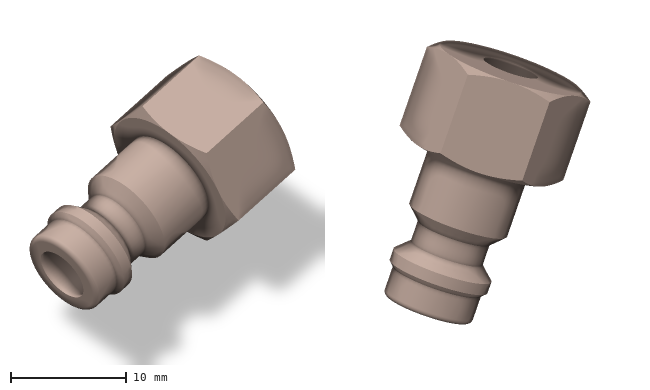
import cadquery as cq
import math

total_length = 22.5
across_flats = 13.0
hex_length = 8.5
chamfer_angle = 30.0
body_diameter = 9.0
groove_diameter = 6.6
tip_diameter = 8.1
bore_diameter = 5.0
tip_edge_radius = 0.45

tip_end = 2.6
collar_start = 3.05
collar_end = 4.1
groove_start = 5.25
groove_end = 7.13
body_start = 8.32
hex_start = total_length - hex_length

flat_radius = across_flats / 2
corner_radius = flat_radius / math.cos(math.radians(30))
body_radius = body_diameter / 2
groove_radius = groove_diameter / 2
tip_radius = tip_diameter / 2


def make_hex():
    """Hexagonal nut with corners on X and conical chamfers at both ends."""
    prism = (
        cq.Workplane("XZ", origin=(0, hex_start, 0))
        .polygon(6, 2 * corner_radius)
        .extrude(-hex_length)
    )
    chamfer_depth = (corner_radius - flat_radius) * math.tan(math.radians(chamfer_angle))
    envelope = (
        cq.Workplane("XY")
        .moveTo(0, hex_start)
        .lineTo(flat_radius, hex_start)
        .lineTo(corner_radius, hex_start + chamfer_depth)
        .lineTo(corner_radius, total_length - chamfer_depth)
        .lineTo(flat_radius, total_length)
        .lineTo(0, total_length)
        .close()
        .revolve(360, (0, 0, 0), (0, 1, 0))
    )
    return prism.intersect(envelope)


def make_plug():
    """Turned plug with rounded tip, sealing collar and locking groove."""
    profile = (
        cq.Workplane("XY")
        .moveTo(0, 0)
        .lineTo(tip_radius - tip_edge_radius, 0)
        .radiusArc((tip_radius, tip_edge_radius), -tip_edge_radius)
        .lineTo(tip_radius, tip_end)
        .lineTo(body_radius, collar_start)
        .lineTo(body_radius, collar_end)
        .lineTo(groove_radius, groove_start)
        .lineTo(groove_radius, groove_end)
        .lineTo(body_radius, body_start)
        .lineTo(body_radius, hex_start)
        .lineTo(0, hex_start)
        .close()
    )
    return profile.revolve(360, (0, 0, 0), (0, 1, 0))


bore = cq.Workplane("XZ").circle(bore_diameter / 2).extrude(-total_length)

result = make_hex().union(make_plug()).cut(bore)